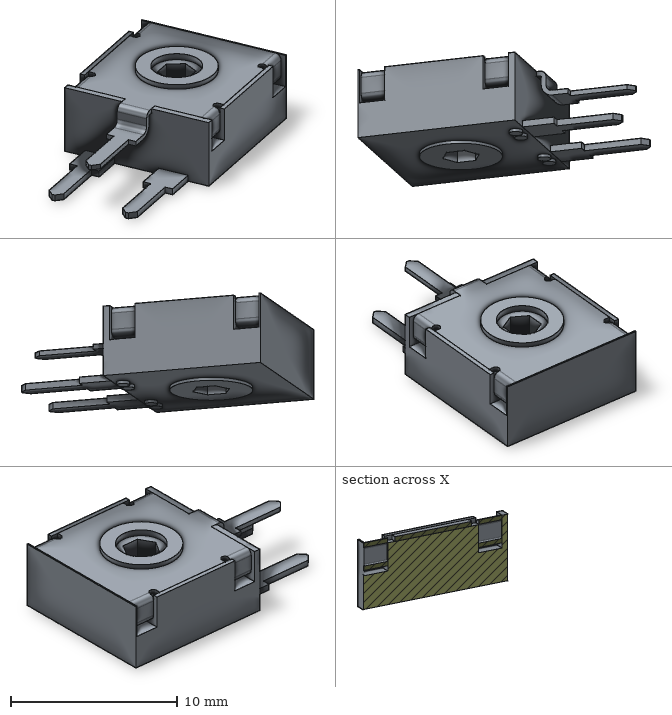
import cadquery as cq


HOUSING_WIDTH = 9.8
HOUSING_LENGTH = 10.0
HOUSING_HEIGHT = 4.3
REAR_Y = 4.83
FRONT_Y = REAR_Y - HOUSING_LENGTH
REAR_WALL = 0.1
FRONT_WALL = 0.42
SIDE_WALL = 0.3
BOTTOM_PROJECTION = 0.2

PEG_DIAMETER = 0.8
PEG_Y = -4.56
PEG_INNER_X = 2.1
PEG_OUTER_X = 3.0

ROTOR_DIAMETER = 5.0
ROTOR_TOP_PROJECTION = 0.3
RECESS_DIAMETER = 3.1
RECESS_DEPTH = 0.4
HEX_ACROSS_CORNERS = 2.3

SHEET = 0.3
BEND_OUTER_RADIUS = 0.4
BEND_INNER_RADIUS = BEND_OUTER_RADIUS - SHEET
CLIP_WIDTH = 1.6
CLIP_HEIGHT = 1.8
CLIP_WINDOW_HEIGHT = 2.11
HOOK_LENGTH = 0.8
RELIEF_WIDTH = 0.5
RELIEF_LENGTH = 0.56

TERMINAL_PITCH = 2.5
TERMINAL_WIDTH = 2.0
PIN_WIDTH = 1.0
SHOULDER_LENGTH = 2.0
TERMINAL_LENGTH = 6.0
TIP_CHAMFER = 0.4
OUTER_TERMINAL_THICKNESS = 0.4
RISER_REACH = 0.6
TERMINAL_DROP = 1.6

HALF_WIDTH = HOUSING_WIDTH / 2
COVER_HALF_WIDTH = HALF_WIDTH - SIDE_WALL
COVER_REAR_Y = REAR_Y - REAR_WALL
COVER_FRONT_Y = FRONT_Y + FRONT_WALL
COVER_BOTTOM = HOUSING_HEIGHT - SHEET
CLIP_CENTERS_Y = (COVER_REAR_Y - CLIP_WIDTH / 2, COVER_FRONT_Y + CLIP_WIDTH / 2)
SIDES = (-1, 1)
SHOULDER_Y = FRONT_Y - SHOULDER_LENGTH
TIP_Y = FRONT_Y - TERMINAL_LENGTH


def block(x_min, x_max, y_min, y_max, z_min, z_max):
    """Box between two opposite corners."""
    size = (x_max - x_min, y_max - y_min, z_max - z_min)
    return cq.Workplane("XY").box(*size, centered=False).translate((x_min, y_min, z_min))


def cylinder(diameter, z_min, z_max, x=0, y=0):
    """Upright cylinder."""
    return cq.Workplane("XY", origin=(x, y, z_min)).circle(diameter / 2).extrude(z_max - z_min)


def terminal_plan(start_y, z_min, height):
    """Flat terminal on X = 0: a wide shoulder, then a narrow pin with a chamfered tip."""
    half_shoulder = TERMINAL_WIDTH / 2
    half_pin = PIN_WIDTH / 2
    half_tip = half_pin - TIP_CHAMFER
    chamfer_y = TIP_Y + TIP_CHAMFER
    return (
        cq.Workplane("XY", origin=(0, 0, z_min))
        .moveTo(0, start_y)
        .lineTo(half_shoulder, start_y)
        .lineTo(half_shoulder, SHOULDER_Y)
        .lineTo(half_pin, SHOULDER_Y)
        .lineTo(half_pin, chamfer_y)
        .lineTo(half_tip, TIP_Y)
        .lineTo(0, TIP_Y)
        .mirrorY()
        .extrude(height)
    )


def make_housing():
    """Block with a seat for the cover, windows for its clips, a rotor bore and four pegs."""
    housing = block(-HALF_WIDTH, HALF_WIDTH, FRONT_Y, REAR_Y, 0, HOUSING_HEIGHT)

    housing = housing.cut(
        block(-COVER_HALF_WIDTH, COVER_HALF_WIDTH, COVER_FRONT_Y, COVER_REAR_Y, COVER_BOTTOM, HOUSING_HEIGHT)
    )
    half_notch = TERMINAL_WIDTH / 2
    housing = housing.cut(
        block(-half_notch, half_notch, FRONT_Y, COVER_FRONT_Y, COVER_BOTTOM, HOUSING_HEIGHT)
    )

    window_depth = SIDE_WALL + HOOK_LENGTH
    for side in SIDES:
        for y in CLIP_CENTERS_Y:
            window = cq.Workplane("XY").box(window_depth, CLIP_WIDTH, CLIP_WINDOW_HEIGHT)
            x = side * (HALF_WIDTH - window_depth / 2)
            housing = housing.cut(window.translate((x, y, HOUSING_HEIGHT - CLIP_WINDOW_HEIGHT / 2)))

    housing = housing.cut(cylinder(ROTOR_DIAMETER, 0, HOUSING_HEIGHT))

    for side in SIDES:
        for x in (PEG_INNER_X, PEG_OUTER_X):
            housing = housing.union(cylinder(PEG_DIAMETER, -BOTTOM_PROJECTION, 0, side * x, PEG_Y))
    return housing


def make_rotor():
    """Disc through the housing and cover, with a round recess and a hexagonal through hole."""
    top = HOUSING_HEIGHT + ROTOR_TOP_PROJECTION
    rotor = cylinder(ROTOR_DIAMETER, -BOTTOM_PROJECTION, top)
    rotor = rotor.cut(cylinder(RECESS_DIAMETER, top - RECESS_DEPTH, top))
    hexagon = (
        cq.Workplane("XY", origin=(0, 0, -BOTTOM_PROJECTION))
        .transformed(rotate=(0, 0, 90))
        .polygon(6, HEX_ACROSS_CORNERS)
        .extrude(top + BOTTOM_PROJECTION)
    )
    return rotor.cut(hexagon)


def make_clip(y_center):
    """Clip on the +X edge of the cover: bent down, then hooked back inward below."""
    outer_x = COVER_HALF_WIDTH
    inner_x = outer_x - SHEET
    bend_x = outer_x - BEND_OUTER_RADIUS
    hook_end_x = outer_x - HOOK_LENGTH
    bottom = HOUSING_HEIGHT - CLIP_HEIGHT
    upper_bend_z = HOUSING_HEIGHT - BEND_OUTER_RADIUS
    lower_bend_z = bottom + BEND_OUTER_RADIUS
    return (
        cq.Workplane("XZ", origin=(0, y_center, 0))
        .moveTo(bend_x, HOUSING_HEIGHT)
        .radiusArc((outer_x, upper_bend_z), BEND_OUTER_RADIUS)
        .lineTo(outer_x, lower_bend_z)
        .radiusArc((bend_x, bottom), BEND_OUTER_RADIUS)
        .lineTo(hook_end_x, bottom)
        .lineTo(hook_end_x, bottom + SHEET)
        .lineTo(bend_x, bottom + SHEET)
        .radiusArc((inner_x, lower_bend_z), -BEND_INNER_RADIUS)
        .lineTo(inner_x, upper_bend_z)
        .radiusArc((bend_x, COVER_BOTTOM), -BEND_INNER_RADIUS)
        .close()
        .extrude(CLIP_WIDTH / 2, both=True)
    )


def make_cover_terminal():
    """Terminal of the cover: out through the front wall, down through an S-bend and forward."""
    riser_front = FRONT_Y - RISER_REACH
    riser_back = riser_front + SHEET
    first_bend_y = riser_front + BEND_OUTER_RADIUS
    first_bend_z = HOUSING_HEIGHT - BEND_OUTER_RADIUS
    lower_bottom = HOUSING_HEIGHT - TERMINAL_DROP
    lower_top = lower_bottom + SHEET
    second_inner_radius = BEND_OUTER_RADIUS
    second_outer_radius = second_inner_radius + SHEET
    second_bend_y = riser_front - second_inner_radius
    second_bend_z = lower_top + second_inner_radius
    bent_strip = (
        cq.Workplane("YZ")
        .moveTo(COVER_FRONT_Y, HOUSING_HEIGHT)
        .lineTo(first_bend_y, HOUSING_HEIGHT)
        .radiusArc((riser_front, first_bend_z), -BEND_OUTER_RADIUS)
        .lineTo(riser_front, second_bend_z)
        .radiusArc((second_bend_y, lower_top), second_inner_radius)
        .lineTo(second_bend_y, lower_bottom)
        .radiusArc((riser_back, second_bend_z), -second_outer_radius)
        .lineTo(riser_back, first_bend_z)
        .radiusArc((first_bend_y, COVER_BOTTOM), BEND_INNER_RADIUS)
        .lineTo(COVER_FRONT_Y, COVER_BOTTOM)
        .close()
        .extrude(TERMINAL_WIDTH / 2, both=True)
    )
    return bent_strip.union(terminal_plan(second_bend_y, lower_bottom, SHEET))


def make_cover():
    """Top plate with four clips, a bend relief beside each clip, and the middle terminal."""
    plate = block(
        -COVER_HALF_WIDTH, COVER_HALF_WIDTH, COVER_FRONT_Y, COVER_REAR_Y, COVER_BOTTOM, HOUSING_HEIGHT
    )

    for side in SIDES:
        for y in CLIP_CENTERS_Y:
            bend_space = cq.Workplane("XY").box(BEND_OUTER_RADIUS, CLIP_WIDTH, SHEET)
            x = side * (COVER_HALF_WIDTH - BEND_OUTER_RADIUS / 2)
            plate = plate.cut(bend_space.translate((x, y, HOUSING_HEIGHT - SHEET / 2)))

    rear_relief_y = COVER_REAR_Y - CLIP_WIDTH - RELIEF_WIDTH / 2
    front_relief_y = COVER_FRONT_Y + CLIP_WIDTH + RELIEF_WIDTH / 2
    relief_places = [
        (side * COVER_HALF_WIDTH, y) for side in SIDES for y in (rear_relief_y, front_relief_y)
    ]
    plate = plate.cut(
        cq.Workplane("XY", origin=(0, 0, COVER_BOTTOM))
        .pushPoints(relief_places)
        .slot2D(2 * RELIEF_LENGTH, RELIEF_WIDTH)
        .extrude(SHEET)
    )

    plate = plate.cut(cylinder(ROTOR_DIAMETER, COVER_BOTTOM, HOUSING_HEIGHT))

    for y in CLIP_CENTERS_Y:
        clip = make_clip(y)
        plate = plate.union(clip).union(clip.mirror("YZ"))
    return plate.union(make_cover_terminal())


def make_outer_terminal(side):
    """Flat terminal against the front of the housing, level with its underside."""
    return terminal_plan(FRONT_Y, 0, OUTER_TERMINAL_THICKNESS).translate((side * TERMINAL_PITCH, 0, 0))


housing = make_housing()
rotor = make_rotor()
cover = make_cover()
outer_terminals = [make_outer_terminal(side) for side in SIDES]

result = cq.Compound.makeCompound(
    [housing.val(), rotor.val(), cover.val(), *[terminal.val() for terminal in outer_terminals]]
)